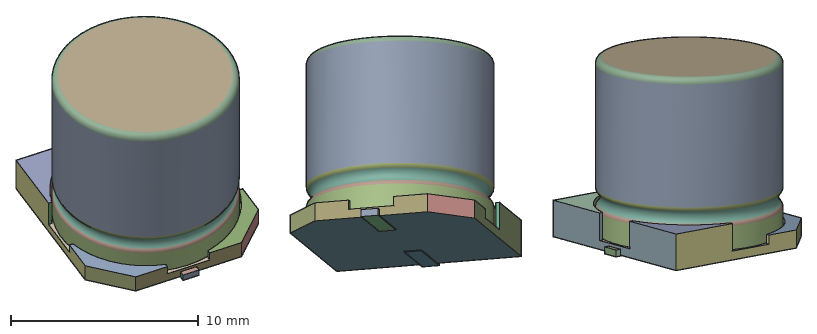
import cadquery as cq
import math

can_radius = 5.0
top_z = 10.05
rim_fillet = 0.35

groove_z = 2.4
groove_depth = 0.24
groove_radius = 0.48
groove_lip_radius = 0.32

base_side = 10.3
base_bottom = 0.05
base_top = 2.05
low_top = 1.05
corner_chamfer = 2.01
seat_z = 0.55
seat_radius = 5.1
notch_width = 2.51

terminal_span = 10.9
terminal_gap = 4.47
terminal_width = 0.96
terminal_height = 0.38


def box_between(x_min, x_max, width, z_min, z_max):
    """Box centred on Y, reaching between the given X and Z limits."""
    return (
        cq.Workplane("XY", origin=((x_min + x_max) / 2, 0, z_min))
        .box(x_max - x_min, width, z_max - z_min, centered=(True, True, False))
    )


def make_base():
    half = base_side / 2
    base = box_between(-half, half, base_side, base_bottom, base_top)
    base = base.edges("|Z and >X").chamfer(corner_chamfer)

    base = base.cut(box_between(0, base_side, base_side, low_top, base_top))

    seat = cq.Workplane("XY", origin=(0, 0, seat_z)).circle(seat_radius).extrude(base_top)
    notch_x = box_between(-half, half, notch_width, seat_z, base_top)
    notch_y = notch_x.rotate((0, 0, 0), (0, 0, 1), 90)
    return base.cut(seat).cut(notch_x).cut(notch_y)


def make_can():
    groove_center = can_radius - groove_depth + groove_radius
    lip_center = can_radius - groove_lip_radius
    center_distance = groove_radius + groove_lip_radius
    tilt = math.acos((groove_center - lip_center) / center_distance)
    half_opening = center_distance * math.sin(tilt)
    join_r = groove_center - groove_radius * math.cos(tilt)
    join_dz = groove_radius * math.sin(tilt)
    lip_mid_r = lip_center + groove_lip_radius * math.cos(tilt / 2)
    lip_mid_dz = half_opening - groove_lip_radius * math.sin(tilt / 2)

    profile = (
        cq.Workplane("XZ")
        .moveTo(0, seat_z)
        .lineTo(can_radius, seat_z)
        .lineTo(can_radius, groove_z - half_opening)
        .threePointArc((lip_mid_r, groove_z - lip_mid_dz), (join_r, groove_z - join_dz))
        .threePointArc((can_radius - groove_depth, groove_z), (join_r, groove_z + join_dz))
        .threePointArc((lip_mid_r, groove_z + lip_mid_dz), (can_radius, groove_z + half_opening))
        .lineTo(can_radius, top_z)
        .lineTo(0, top_z)
        .close()
    )
    can = profile.revolve(360, (0, 0, 0), (0, 1, 0))
    return can.faces(">Z").edges().fillet(rim_fillet)


def make_terminal():
    """Terminal on the -X side: a flat foot under the base and a tab beyond its side."""
    outer = -terminal_span / 2
    foot = box_between(outer, -terminal_gap / 2, terminal_width, 0, base_bottom)
    tab = box_between(outer, -base_side / 2, terminal_width, 0, terminal_height)
    return foot.union(tab)


terminal = make_terminal()
result = make_base().union(make_can()).union(terminal).union(terminal.mirror("YZ"))